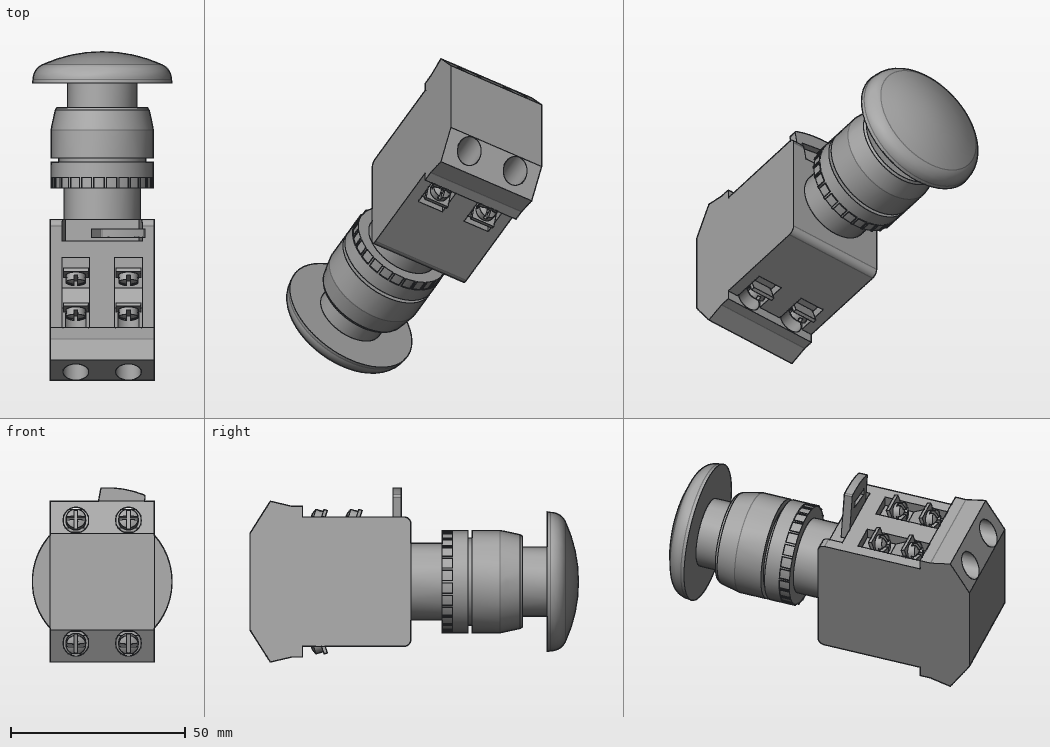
import cadquery as cq
import math


BLOCK_WIDTH = 29.8
BLOCK_LENGTH = 46.1
BLOCK_HALF_HEIGHT = 18.5
BACK_CORNER_RADIUS = 2.0
FRONT_FACE_HALF_HEIGHT = 13.8
SHOULDER_PEAK = 23.0
SHOULDER_PEAK_Y = 5.8
SHOULDER_FLAT = 21.6
SHOULDER_FLAT_Y = 11.8
SHOULDER_BACK_Y = 15.0

RECESS_WIDTH = 23.0
RECESS_FLOOR_WIDTH = 21.0
RECESS_LENGTH = 6.2
RECESS_FLOOR = 12.7
TAB_FRONT_Y = 40.9
TAB_THICKNESS = 2.4
TAB_TOP = 26.9
TAB_CROWN_X = 1.4
TAB_CROWN_RADIUS = 28.2
TAB_LEFT_X = -0.4
TAB_RIGHT_X = 12.4
TAB_LEFT_FOOT_X = -3.1
TAB_RIGHT_FOOT_X = 10.15
TAB_LEFT_CORNER_RADIUS = 0.5
TAB_RIGHT_CORNER_RADIUS = 0.75
WINDOW_LEFT_X = 1.6
WINDOW_WIDTH = 7.8
WINDOW_BOTTOM = 20.9
WINDOW_HEIGHT = 2.0
WINDOW_TILT = 10.0

COLUMN_SPACING = 15.0
COLUMNS = (-COLUMN_SPACING / 2, COLUMN_SPACING / 2)
POCKET_WIDTH = 7.9
POCKET_FLOOR = 15.4
POCKET_BEHIND_SCREW = 5.1
TERMINAL_SPACING = 10.0
RAMP_LENGTH = 5.8
RAMP_TILT = 30.0
ACCESS_HOLE_DIAMETER = 7.3
ACCESS_HOLE_Z = 17.6

TERMINAL_TILT = 18.0
TERMINAL_Y = 20.1
TERMINAL_Z = 17.4
PLATE_WIDTH = 7.1
PLATE_HEIGHT = 7.0
PLATE_THICKNESS = 1.0
HEAD_RADIUS = 2.8
HEAD_RIM = 2.2
HEAD_DOME = 0.75
SLOT_WIDTH = 1.0
SLOT_DEPTH = 2.0

BUTTON_END = 94.0
CAP_RADIUS = 20.0
CAP_DOME_RADIUS = 19.8
CAP_BACK_Y = 85.0
CAP_DOME_Y = 86.0
CAP_SHOULDER_RADIUS = 4.7
NECK_RADIUS = 10.0
COLLAR_RADIUS = 14.7
COLLAR_TOP_Y = 78.0
COLLAR_TOP_RADIUS = 13.0
COLLAR_SHOULDER_Y = 77.3
COLLAR_SHOULDER_RADIUS = 13.4
COLLAR_BULGE_Y = 74.45
COLLAR_BULGE_RADIUS = 14.1
COLLAR_STRAIGHT_Y = 71.5
GROOVE_TOP_Y = 63.5
GROOVE_BOTTOM_Y = 62.4
GROOVE_RADIUS = 12.5
KNURL_TOP_Y = 58.0
KNURL_BOTTOM_Y = 55.0
KNURL_COUNT = 25
KNURL_RIB_WIDTH = 0.7
KNURL_DEPTH = 0.3
TUBE_RADIUS = 11.0

OVERLAP = 0.5


def span_box(x_min, x_max, y_min, y_max, z_min, z_max):
    """Box between the given limits."""
    size = (x_max - x_min, y_max - y_min, z_max - z_min)
    return cq.Workplane().box(*size, centered=False).translate((x_min, y_min, z_min))


def cylinder_along_y(radius, y_min, y_max):
    """Cylinder on the Y axis."""
    return cq.Workplane("XZ", origin=(0, y_max, 0)).circle(radius).extrude(y_max - y_min)


def make_block():
    """Contact block: one side outline carried across the full width."""
    upper_half = [
        (0, FRONT_FACE_HALF_HEIGHT),
        (SHOULDER_PEAK_Y, SHOULDER_PEAK),
        (SHOULDER_FLAT_Y, SHOULDER_FLAT),
        (SHOULDER_BACK_Y, SHOULDER_FLAT),
        (SHOULDER_BACK_Y, BLOCK_HALF_HEIGHT),
        (BLOCK_LENGTH, BLOCK_HALF_HEIGHT),
    ]
    lower_half = [(y, -z) for y, z in reversed(upper_half)]
    block = cq.Workplane("YZ").polyline(upper_half + lower_half).close()
    block = block.extrude(BLOCK_WIDTH / 2, both=True)
    return block.edges("|X and >Y").fillet(BACK_CORNER_RADIUS)


def make_recess():
    """Cutter for the latch recess, whose side walls lean outwards."""
    outline = [
        (-RECESS_FLOOR_WIDTH / 2, RECESS_FLOOR),
        (RECESS_FLOOR_WIDTH / 2, RECESS_FLOOR),
        (RECESS_WIDTH / 2, BLOCK_HALF_HEIGHT),
        (-RECESS_WIDTH / 2, BLOCK_HALF_HEIGHT),
    ]
    back = cq.Workplane("XZ", origin=(0, BLOCK_LENGTH, 0))
    return back.polyline(outline).close().extrude(RECESS_LENGTH)


def make_latch_tab():
    """Latch tab with a crowned top edge and a tilted rectangular window."""
    def crown_height(x):
        sag = TAB_CROWN_RADIUS - math.sqrt(TAB_CROWN_RADIUS**2 - (x - TAB_CROWN_X) ** 2)
        return TAB_TOP - sag

    foot = RECESS_FLOOR - OVERLAP
    tab = (
        cq.Workplane("XZ", origin=(0, TAB_FRONT_Y + TAB_THICKNESS, 0))
        .moveTo(TAB_LEFT_FOOT_X, foot)
        .lineTo(TAB_LEFT_X, crown_height(TAB_LEFT_X))
        .threePointArc((TAB_CROWN_X, TAB_TOP), (TAB_RIGHT_X, crown_height(TAB_RIGHT_X)))
        .lineTo(TAB_RIGHT_FOOT_X, foot)
        .close()
        .extrude(TAB_THICKNESS)
    )
    above_block = cq.selectors.BoxSelector(
        (TAB_LEFT_FOOT_X, 0, BLOCK_HALF_HEIGHT), (TAB_CROWN_X, BLOCK_LENGTH, TAB_TOP)
    )
    tab = tab.edges("|Y").edges(above_block).fillet(TAB_LEFT_CORNER_RADIUS)
    tab = tab.edges("|Y and >X").fillet(TAB_RIGHT_CORNER_RADIUS)
    window = span_box(
        WINDOW_LEFT_X,
        WINDOW_LEFT_X + WINDOW_WIDTH,
        TAB_FRONT_Y,
        TAB_FRONT_Y + TAB_THICKNESS,
        WINDOW_BOTTOM,
        WINDOW_BOTTOM + WINDOW_HEIGHT,
    )
    window_corner = (WINDOW_LEFT_X, 0, WINDOW_BOTTOM)
    window_corner_axis_end = (WINDOW_LEFT_X, BLOCK_LENGTH, WINDOW_BOTTOM)
    return tab.cut(window.rotate(window_corner, window_corner_axis_end, WINDOW_TILT))


def make_pocket(screw_count):
    """Cutter on X = 0 for a terminal pocket and its screwdriver hole."""
    last_screw_y = TERMINAL_Y + (screw_count - 1) * TERMINAL_SPACING
    pocket = span_box(
        -POCKET_WIDTH / 2,
        POCKET_WIDTH / 2,
        SHOULDER_BACK_Y,
        last_screw_y + POCKET_BEHIND_SCREW,
        POCKET_FLOOR,
        BLOCK_HALF_HEIGHT,
    )
    hole = cylinder_along_y(ACCESS_HOLE_DIAMETER / 2, 0, TERMINAL_Y - PLATE_THICKNESS)
    return pocket.union(hole.translate((0, 0, ACCESS_HOLE_Z)))


def make_terminal():
    """Clamp plate and screw; the screw axis tilts up towards the front."""
    plate = span_box(
        -PLATE_WIDTH / 2, PLATE_WIDTH / 2, 0, PLATE_THICKNESS, -PLATE_HEIGHT / 2, PLATE_HEIGHT / 2
    )
    head_length = HEAD_RIM + HEAD_DOME
    dome_mid_radius = HEAD_RADIUS / 2
    dome_radius = (HEAD_RADIUS**2 + HEAD_DOME**2) / (2 * HEAD_DOME)
    dome_mid_sag = dome_radius - math.sqrt(dome_radius**2 - dome_mid_radius**2)
    head = (
        cq.Workplane("XY")
        .moveTo(0, OVERLAP)
        .lineTo(HEAD_RADIUS, OVERLAP)
        .lineTo(HEAD_RADIUS, -HEAD_RIM)
        .threePointArc((dome_mid_radius, dome_mid_sag - head_length), (0, -head_length))
        .close()
        .revolve(360, (0, 0, 0), (0, 1, 0))
    )
    slot = span_box(
        -HEAD_RADIUS,
        HEAD_RADIUS,
        -head_length,
        SLOT_DEPTH - head_length,
        -SLOT_WIDTH / 2,
        SLOT_WIDTH / 2,
    )
    for angle in (0, 90):
        head = head.cut(slot.rotate((0, 0, 0), (0, 1, 0), angle))
    terminal = plate.union(head).rotate((0, 0, 0), (1, 0, 0), -TERMINAL_TILT)
    return terminal.translate((0, TERMINAL_Y, TERMINAL_Z))


def make_ramp():
    """Wedge on the pocket floor rising forwards to the front clamp plate, its tip inside the plate."""
    front_y = TERMINAL_Y + PLATE_THICKNESS / 2
    back_y = front_y + RAMP_LENGTH
    rise = RAMP_LENGTH * math.tan(math.radians(RAMP_TILT))
    foot = POCKET_FLOOR - OVERLAP
    outline = [
        (front_y, foot),
        (back_y, foot),
        (back_y, POCKET_FLOOR),
        (front_y, POCKET_FLOOR + rise),
    ]
    return cq.Workplane("YZ").polyline(outline).close().extrude(POCKET_WIDTH / 2, both=True)


def make_button():
    """Turned part of the button: cap, neck, collar, groove, knurled ring and tube."""
    dome_depth = BUTTON_END - CAP_DOME_Y
    shoulder_x = CAP_DOME_RADIUS - CAP_SHOULDER_RADIUS
    crown_radius = (shoulder_x**2 + dome_depth**2 - CAP_SHOULDER_RADIUS**2) / (
        2 * (dome_depth - CAP_SHOULDER_RADIUS)
    )
    crown_y = BUTTON_END - crown_radius
    tangent_angle = math.atan2(shoulder_x, CAP_DOME_Y - crown_y)

    def crown_point(angle):
        return crown_radius * math.sin(angle), crown_y + crown_radius * math.cos(angle)

    shoulder_angle = (tangent_angle + math.pi / 2) / 2
    shoulder_mid = (
        shoulder_x + CAP_SHOULDER_RADIUS * math.sin(shoulder_angle),
        CAP_DOME_Y + CAP_SHOULDER_RADIUS * math.cos(shoulder_angle),
    )
    button = (
        cq.Workplane("XY")
        .moveTo(0, BUTTON_END)
        .threePointArc(crown_point(tangent_angle / 2), crown_point(tangent_angle))
        .threePointArc(shoulder_mid, (CAP_DOME_RADIUS, CAP_DOME_Y))
        .lineTo(CAP_RADIUS, CAP_BACK_Y)
        .lineTo(NECK_RADIUS, CAP_BACK_Y)
        .lineTo(NECK_RADIUS, COLLAR_TOP_Y)
        .lineTo(COLLAR_TOP_RADIUS, COLLAR_TOP_Y)
        .lineTo(COLLAR_SHOULDER_RADIUS, COLLAR_SHOULDER_Y)
        .threePointArc(
            (COLLAR_BULGE_RADIUS, COLLAR_BULGE_Y), (COLLAR_RADIUS, COLLAR_STRAIGHT_Y)
        )
        .lineTo(COLLAR_RADIUS, GROOVE_TOP_Y)
        .lineTo(GROOVE_RADIUS, GROOVE_TOP_Y)
        .lineTo(GROOVE_RADIUS, GROOVE_BOTTOM_Y)
        .lineTo(COLLAR_RADIUS, GROOVE_BOTTOM_Y)
        .lineTo(COLLAR_RADIUS, KNURL_BOTTOM_Y)
        .lineTo(TUBE_RADIUS, KNURL_BOTTOM_Y)
        .lineTo(TUBE_RADIUS, BLOCK_LENGTH)
        .lineTo(0, BLOCK_LENGTH)
        .close()
        .revolve(360, (0, 0, 0), (0, 1, 0))
    )
    return button.cut(make_knurl_gaps())


def make_knurl_gaps():
    """Cutter for the gaps between the narrow knurl ribs; one rib points to +X."""
    ring = cylinder_along_y(COLLAR_RADIUS, KNURL_BOTTOM_Y, KNURL_TOP_Y)
    gaps = ring.cut(cylinder_along_y(COLLAR_RADIUS - KNURL_DEPTH, KNURL_BOTTOM_Y, KNURL_TOP_Y))
    rib = span_box(
        GROOVE_RADIUS,
        COLLAR_RADIUS + OVERLAP,
        KNURL_BOTTOM_Y,
        KNURL_TOP_Y,
        -KNURL_RIB_WIDTH / 2,
        KNURL_RIB_WIDTH / 2,
    )
    for index in range(KNURL_COUNT):
        gaps = gaps.cut(rib.rotate((0, 0, 0), (0, 1, 0), index * 360 / KNURL_COUNT))
    return gaps


block = make_block().cut(make_recess())
top_pocket = make_pocket(2)
bottom_pocket = make_pocket(1).mirror("XY")
front_terminal = make_terminal()
rear_terminal = front_terminal.translate((0, TERMINAL_SPACING, 0))
bottom_terminal = front_terminal.mirror("XY")
ramp = make_ramp()

for column_x in COLUMNS:
    for cutter in (top_pocket, bottom_pocket):
        block = block.cut(cutter.translate((column_x, 0, 0)))
    for insert in (front_terminal, rear_terminal, bottom_terminal, ramp):
        block = block.union(insert.translate((column_x, 0, 0)))

result = block.union(make_latch_tab()).union(make_button())